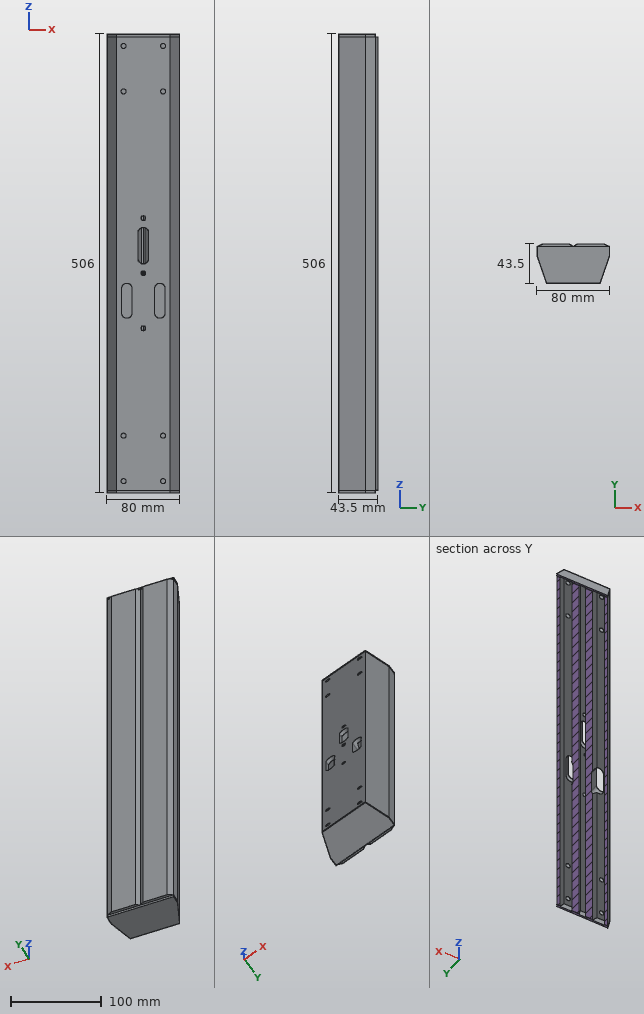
import cadquery as cq

length = 506.0
width = 80.0
depth = 43.5
front_y = -depth / 2
back_y = depth / 2

cap_thickness = 3.0
panel_thickness = 3.0
housing_length = length - 2 * cap_thickness
housing_back_y = back_y - panel_thickness

front_width = 59.0
shoulder_depth = 10.5
shoulder_y = housing_back_y - shoulder_depth
flank_run = (width - front_width) / 2
flank_rise = shoulder_y - front_y
front_wall = 4.5
side_wall = 4.5
back_wall = 4.5

slot_width = 11.5
upright_angle = 90
upper_slot_length = 40.0
lower_slot_length = 38.5
side_slot_x = 18.0
lower_slot_depth = 15.0
slot_pitch = 60.5
upper_slot_z = 19.5
lower_slot_z = upper_slot_z - slot_pitch

chamber_front_y = front_y + front_wall
chamber_back_y = housing_back_y - back_wall
chamber_inner_x = 15.5
channel_mouth = slot_width
channel_floor_width = 3.5
channel_depth = 11.5
channel_vee_depth = 0.75
channel_slope = (channel_mouth - channel_floor_width) / 2 / channel_depth

mount_hole_diameter = 5.5
mount_hole_x = 22.0
mount_hole_heights = (240.0, 190.0)
centre_hole_diameter = 5.0
centre_pilot_diameter = 2.5
centre_counterbore_depth = 2.0
middle_hole_z = (upper_slot_z + lower_slot_z) / 2

outer_bevel_width = 6.5
inner_bevel_width = 4.5


def extrude_along_z(points, height):
    """Prism with the given XY outline, centred on Z = 0."""
    return cq.Workplane("XY").polyline(points).close().extrude(height / 2, both=True)


def shell_outline():
    """Outline with a narrow front, sloped flanks and straight shoulders at the back."""
    return [
        (-front_width / 2, front_y),
        (front_width / 2, front_y),
        (width / 2, shoulder_y),
        (width / 2, housing_back_y),
        (-width / 2, housing_back_y),
        (-width / 2, shoulder_y),
    ]


def front_face():
    """Sketch plane on the front face, with local X and Y along the part's X and Z."""
    return cq.Workplane("XZ", origin=(0, front_y, 0))


def flank_x(y):
    """Half width of the sloped flank at depth y."""
    return front_width / 2 + flank_run * (y - front_y) / flank_rise


def side_chamber(side):
    """Chamber whose inner wall is parallel to the near wall of the centre channel."""
    inner_back_x = chamber_inner_x - channel_slope * (chamber_back_y - chamber_front_y)
    outer_front_x = flank_x(chamber_front_y) - side_wall
    outer_back_x = width / 2 - side_wall
    outline = [
        (side * chamber_inner_x, chamber_front_y),
        (side * outer_front_x, chamber_front_y),
        (side * outer_back_x, shoulder_y),
        (side * outer_back_x, chamber_back_y),
        (side * inner_back_x, chamber_back_y),
    ]
    return extrude_along_z(outline, housing_length)


def centre_channel():
    """Tapered channel with a shallow V-shaped floor."""
    floor_y = chamber_front_y + channel_depth
    outline = [
        (-channel_mouth / 2, chamber_front_y),
        (channel_mouth / 2, chamber_front_y),
        (channel_floor_width / 2, floor_y),
        (0, floor_y + channel_vee_depth),
        (-channel_floor_width / 2, floor_y),
    ]
    return extrude_along_z(outline, housing_length)


def slot_cutter(points, slot_length, cut_depth):
    """Upright slots that run inward from the front face."""
    return front_face().pushPoints(points).slot2D(slot_length, slot_width, upright_angle).extrude(-cut_depth)


def hole_cutter(points, diameter, cut_depth):
    """Round holes that run inward from the front face."""
    return front_face().pushPoints(points).circle(diameter / 2).extrude(-cut_depth)


def make_housing():
    """Three-chamber profile with slots and screw holes in its front wall."""
    body = extrude_along_z(shell_outline(), housing_length)
    for side in (-1, 1):
        body = body.cut(side_chamber(side))
    body = body.cut(centre_channel())

    lower_slots = [(-side_slot_x, lower_slot_z), (side_slot_x, lower_slot_z)]
    body = body.cut(slot_cutter([(0, upper_slot_z)], upper_slot_length, front_wall))
    body = body.cut(slot_cutter(lower_slots, lower_slot_length, lower_slot_depth))

    mounts = [
        (side * mount_hole_x, end * height)
        for side in (-1, 1)
        for end in (-1, 1)
        for height in mount_hole_heights
    ]
    body = body.cut(hole_cutter(mounts, mount_hole_diameter, front_wall))

    outer = [(0, middle_hole_z - slot_pitch), (0, middle_hole_z + slot_pitch)]
    body = body.cut(hole_cutter(outer, centre_hole_diameter, front_wall))
    middle = [(0, middle_hole_z)]
    body = body.cut(hole_cutter(middle, centre_hole_diameter, centre_counterbore_depth))
    return body.cut(hole_cutter(middle, centre_pilot_diameter, front_wall))


def make_end_cap(end):
    """Flat plate that closes the top (end = 1) or the bottom (end = -1) of the housing."""
    cap = extrude_along_z(shell_outline(), cap_thickness)
    return cap.translate((0, 0, end * (length - cap_thickness) / 2))


def make_back_panel(side):
    """Bevelled half panel; the two halves meet in a V-groove at X = 0."""
    outline = [
        (0, housing_back_y),
        (side * width / 2, housing_back_y),
        (side * (width / 2 - outer_bevel_width), back_y),
        (side * inner_bevel_width, back_y),
    ]
    return extrude_along_z(outline, housing_length)


housing = make_housing()
end_caps = [make_end_cap(end) for end in (-1, 1)]
back_panels = [make_back_panel(side) for side in (-1, 1)]

result = cq.Compound.makeCompound(
    [
        housing.val(),
        *[cap.val() for cap in end_caps],
        *[panel.val() for panel in back_panels],
    ]
)